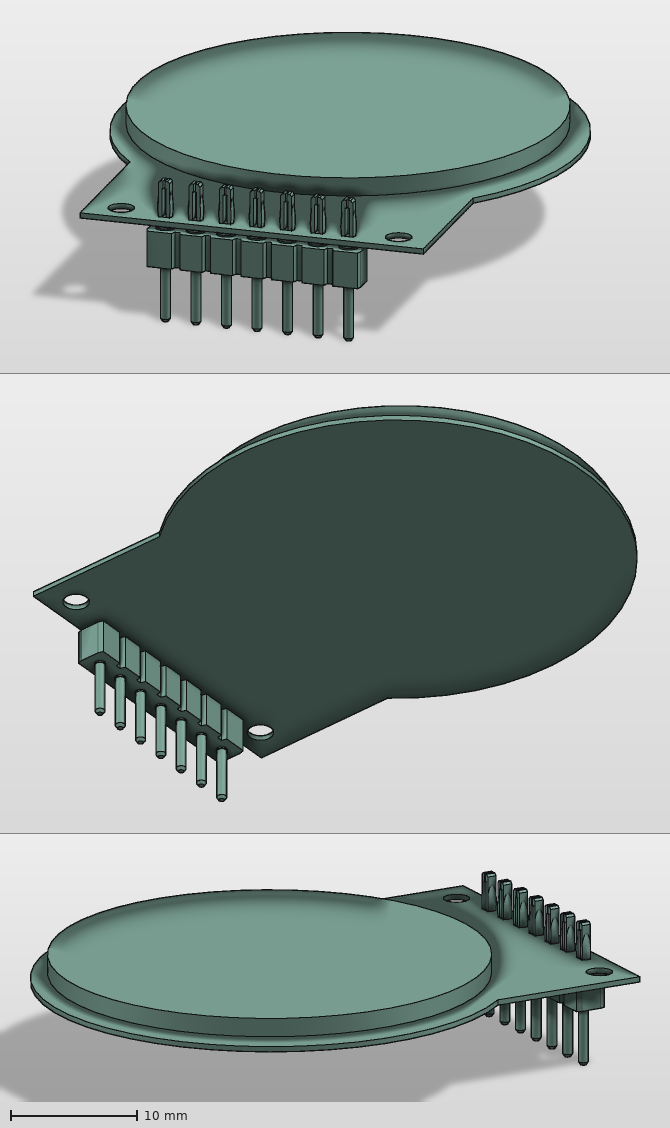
import cadquery as cq
import math

BOARD_DIAMETER = 38.1
BOARD_LENGTH = 44.6
BOARD_THICKNESS = 0.45
NECK_WIDTH = 28.58
BOARD_RADIUS = BOARD_DIAMETER / 2
NECK_END_Y = BOARD_RADIUS - BOARD_LENGTH

MOUNT_HOLE_DIAMETER = 2.1
MOUNT_HOLE_SPACING = 23.1
MOUNT_HOLE_INSET = 2.15

DISC_DIAMETER = 35.2
DISC_THICKNESS = 1.5
DISC_GAP = 0.5
DISC_CENTRE = (-0.25, 0.25)

PIN_COUNT = 7
PITCH = 2.55
PIN_ROW_Y = NECK_END_Y + 1.4
PIN_XS = [(i - (PIN_COUNT - 1) / 2) * PITCH for i in range(PIN_COUNT)]

HOUSING_LENGTH = PIN_COUNT * PITCH
HOUSING_DEPTH = PITCH
HOUSING_HEIGHT = 3.0
HOUSING_TOP_Z = -0.55
HOUSING_BOTTOM_Z = HOUSING_TOP_Z - HOUSING_HEIGHT
GROOVE_DEPTH = 0.425
GROOVE_FLOOR = 0.45
GROOVE_SLANT = 0.15

COLLAR_DIAMETER = 1.55
COLLAR_HEIGHT = 0.15

FOOT_COLLAR_DIAMETER = 0.9
FOOT_COLLAR_HEIGHT = 0.15

PIN_DIAMETER = 0.8
HEADER_HEIGHT = 11.85
PIN_TOP_Z = 3.48
PIN_BOTTOM_Z = PIN_TOP_Z - HEADER_HEIGHT
PIN_TIP_LENGTH = 0.25
PIN_TIP_INSET = 0.2

SHANK_WIDTH = 0.95
SHANK_DEPTH = 0.75
SHANK_TOP_CHAMFER = 0.2

BULGE_BASE_RADIUS = 0.6
BULGE_RADIUS = 0.62
BULGE_MIDDLE_RISE = 0.62
BULGE_HEIGHT = 2.15
SLOT_WIDTH = 0.35
SLIT_WIDTH = 0.15
SLIT_HEIGHT = 0.65


def box(width, depth, bottom_z, top_z):
    """Box centred on the Z axis between two heights."""
    return (
        cq.Workplane("XY")
        .workplane(offset=bottom_z)
        .rect(width, depth)
        .extrude(top_z - bottom_z)
    )


def make_board():
    neck_half = NECK_WIDTH / 2
    neck_start_y = -math.sqrt(BOARD_RADIUS**2 - neck_half**2)
    board = (
        cq.Workplane("XY")
        .moveTo(-neck_half, NECK_END_Y)
        .lineTo(neck_half, NECK_END_Y)
        .lineTo(neck_half, neck_start_y)
        .threePointArc((0, BOARD_RADIUS), (-neck_half, neck_start_y))
        .close()
        .extrude(BOARD_THICKNESS)
    )
    mount_y = NECK_END_Y + MOUNT_HOLE_INSET
    mount_holes = (
        cq.Workplane("XY")
        .pushPoints([(side * MOUNT_HOLE_SPACING / 2, mount_y) for side in (-1, 1)])
        .circle(MOUNT_HOLE_DIAMETER / 2)
        .extrude(BOARD_THICKNESS)
    )
    pin_holes = (
        cq.Workplane("XY")
        .pushPoints([(x, PIN_ROW_Y) for x in PIN_XS])
        .rect(SHANK_WIDTH, SHANK_DEPTH)
        .extrude(BOARD_THICKNESS)
    )
    return board.cut(mount_holes).cut(pin_holes)


def make_display_disc():
    return (
        cq.Workplane("XY")
        .workplane(offset=BOARD_THICKNESS + DISC_GAP)
        .center(*DISC_CENTRE)
        .circle(DISC_DIAMETER / 2)
        .extrude(DISC_THICKNESS)
    )


def make_groove(x, side):
    """Tapered vertical groove in the front (side -1) or back (side 1) of the housing."""
    half_floor = GROOVE_FLOOR / 2
    half_mouth = half_floor + GROOVE_SLANT
    mouth_y = side * HOUSING_DEPTH / 2
    floor_y = mouth_y - side * GROOVE_DEPTH
    return (
        cq.Workplane("XY")
        .workplane(offset=HOUSING_BOTTOM_Z)
        .polyline(
            [
                (x - half_mouth, mouth_y),
                (x - half_floor, floor_y),
                (x + half_floor, floor_y),
                (x + half_mouth, mouth_y),
            ]
        )
        .close()
        .extrude(HOUSING_HEIGHT)
    )


def make_housing():
    """Plastic strip, centred on the pin row, with slanted ends and a groove between pins."""
    half_length = HOUSING_LENGTH / 2
    half_depth = HOUSING_DEPTH / 2
    half_flat = half_length - GROOVE_SLANT
    half_end = half_depth - GROOVE_DEPTH
    housing = (
        cq.Workplane("XY")
        .workplane(offset=HOUSING_BOTTOM_Z)
        .polyline(
            [
                (-half_flat, -half_depth),
                (half_flat, -half_depth),
                (half_length, -half_end),
                (half_length, half_end),
                (half_flat, half_depth),
                (-half_flat, half_depth),
                (-half_length, half_end),
                (-half_length, -half_end),
            ]
        )
        .close()
        .extrude(HOUSING_HEIGHT)
    )
    for left_pin_x in PIN_XS[:-1]:
        for side in (-1, 1):
            housing = housing.cut(make_groove(left_pin_x + PITCH / 2, side))
    return housing


def make_leg():
    """Round leg with a tapered lower end, running up through the housing."""
    radius = PIN_DIAMETER / 2
    return (
        cq.Workplane("XZ")
        .moveTo(0, PIN_BOTTOM_Z)
        .lineTo(radius - PIN_TIP_INSET, PIN_BOTTOM_Z)
        .lineTo(radius, PIN_BOTTOM_Z + PIN_TIP_LENGTH)
        .lineTo(radius, HOUSING_TOP_Z)
        .lineTo(0, HOUSING_TOP_Z)
        .close()
        .revolve(360, (0, 0, 0), (0, 1, 0))
    )


def make_collar(diameter, bottom_z, height):
    return cq.Workplane("XY").workplane(offset=bottom_z).circle(diameter / 2).extrude(height)


def make_bulge():
    """Turned bulge that stands on the board, cut flush with the front and back of the shank."""
    base_z = BOARD_THICKNESS
    top_z = base_z + BULGE_HEIGHT
    turned = (
        cq.Workplane("XZ")
        .moveTo(0, base_z)
        .lineTo(BULGE_BASE_RADIUS, base_z)
        .threePointArc((BULGE_RADIUS, base_z + BULGE_MIDDLE_RISE), (SHANK_WIDTH / 2, top_z))
        .lineTo(0, top_z)
        .close()
        .revolve(360, (0, 0, 0), (0, 1, 0))
    )
    return turned.intersect(box(PITCH, SHANK_DEPTH, base_z, top_z))


def make_split_shank():
    """Flat shank with its bulge, split by a slot that narrows to a slit at the top."""
    shank = (
        box(SHANK_WIDTH, SHANK_DEPTH, HOUSING_TOP_Z, PIN_TOP_Z)
        .faces(">Z")
        .edges("|Y")
        .chamfer(SHANK_TOP_CHAMFER)
    )
    slot = box(SLOT_WIDTH, SHANK_DEPTH, BOARD_THICKNESS, PIN_TOP_Z - SLIT_HEIGHT)
    slit = box(SLIT_WIDTH, SHANK_DEPTH, BOARD_THICKNESS, PIN_TOP_Z)
    return shank.union(make_bulge()).cut(slot).cut(slit)


def make_pin():
    """One pin on the Z axis: round leg, two collars and split flat shank."""
    top_collar = make_collar(COLLAR_DIAMETER, HOUSING_TOP_Z, COLLAR_HEIGHT)
    foot_z = HOUSING_BOTTOM_Z - FOOT_COLLAR_HEIGHT
    foot_collar = make_collar(FOOT_COLLAR_DIAMETER, foot_z, FOOT_COLLAR_HEIGHT)
    return make_leg().union(foot_collar).union(top_collar).union(make_split_shank())


def make_header():
    """Housing and its pins as one body."""
    header = make_housing()
    pin = make_pin()
    for x in PIN_XS:
        header = header.union(pin.translate((x, 0, 0)))
    return header.translate((0, PIN_ROW_Y, 0))


board = make_board()
display_disc = make_display_disc()
header = make_header()

result = cq.Compound.makeCompound([board.val(), display_disc.val(), header.val()])